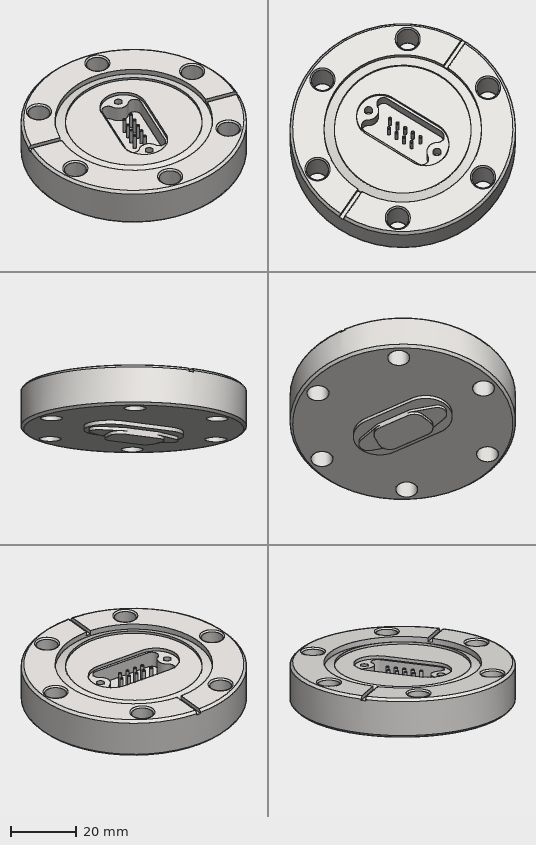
import cadquery as cq
import math

FLANGE_RADIUS = 34.7
FLANGE_THICKNESS = 12.7
RIM_CHAMFER = 0.8

RECESS_RADIUS = 24.2
KNIFE_RADIUS = 21.0
KNIFE_DEPTH = 0.6
KNIFE_SLOPE = 20.0
FLOOR_DEPTH = 1.4

BOLT_COUNT = 6
BOLT_CIRCLE_RADIUS = 29.4
BOLT_DIAMETER = 6.7
BOLT_CHAMFER = 0.5
SLOT_WIDTH = 1.45
SLOT_DEPTH = 1.25

OVAL_LENGTH = 31.05
OVAL_WIDTH = 14.4
LEDGE_DEPTH = 2.4
WELL_DEPTH = 7.4
WELL_HALF_WIDTH = 6.4
WELL_CORNER_RADIUS = 2.0
SCREW_X = 12.55
SCREW_DIAMETER = 2.4
BOSS_RADIUS = 3.1

PIN_DIAMETER = 1.0
PIN_TIP_CHAMFER = 0.2
PIN_PITCH = 2.8
PIN_ROW_Y = 1.4
BACK_ROW_COUNT = 5
FRONT_ROW_COUNT = 4

PLATE_LENGTH = 33.0
PLATE_WIDTH = 16.3
PLATE_THICKNESS = 1.25
EAR_RADIUS = 2.9
EAR_THICKNESS = 1.05
BODY_HALF_FLAT = 5.55
SHELL_HALF_WIDTH = 5.2
SHELL_HALF_LENGTH = 9.35
SHELL_CORNER_RADIUS = 3.6
SHELL_SIDE_ANGLE = 10.0
SHELL_THICKNESS = 1.05

OVERLAP = 0.7


def make_flange():
    """Chamfered disc with the sealing recess, revolved from its half section."""
    cone_drop = (RECESS_RADIUS - KNIFE_RADIUS) * math.tan(math.radians(KNIFE_SLOPE))
    return (
        cq.Workplane("XZ")
        .moveTo(0, -FLANGE_THICKNESS)
        .lineTo(FLANGE_RADIUS - RIM_CHAMFER, -FLANGE_THICKNESS)
        .lineTo(FLANGE_RADIUS, -FLANGE_THICKNESS + RIM_CHAMFER)
        .lineTo(FLANGE_RADIUS, -RIM_CHAMFER)
        .lineTo(FLANGE_RADIUS - RIM_CHAMFER, 0)
        .lineTo(RECESS_RADIUS, 0)
        .lineTo(RECESS_RADIUS, -KNIFE_DEPTH - cone_drop)
        .lineTo(KNIFE_RADIUS, -KNIFE_DEPTH)
        .lineTo(KNIFE_RADIUS, -FLOOR_DEPTH)
        .lineTo(0, -FLOOR_DEPTH)
        .close()
        .revolve(360, (0, 0, 0), (0, 1, 0))
    )


def make_bolt_holes():
    """Through holes, countersunk at the top face."""
    radius = BOLT_DIAMETER / 2
    tool = (
        cq.Workplane("XZ")
        .moveTo(0, 0)
        .lineTo(radius + BOLT_CHAMFER, 0)
        .lineTo(radius, -BOLT_CHAMFER)
        .lineTo(radius, -FLANGE_THICKNESS)
        .lineTo(0, -FLANGE_THICKNESS)
        .close()
        .revolve(360, (0, 0, 0), (0, 1, 0))
        .val()
    )
    return cq.Workplane("XY").polarArray(BOLT_CIRCLE_RADIUS, 0, 360, BOLT_COUNT).eachpoint(
        lambda place: tool.moved(place), combine=False
    )


def make_slots():
    """Two opposite radial slots, from the recess wall out through the rim along Y."""
    inner_end = RECESS_RADIUS - OVERLAP
    length = FLANGE_RADIUS + OVERLAP - inner_end
    middle = inner_end + length / 2
    return (
        cq.Workplane("XY", origin=(0, 0, -SLOT_DEPTH))
        .pushPoints([(0, middle), (0, -middle)])
        .rect(SLOT_WIDTH, length)
        .extrude(SLOT_DEPTH)
    )


def make_well():
    """Deep well: rounded corners flow tangentially into the screw bosses at both ends."""
    corner_y = WELL_HALF_WIDTH - WELL_CORNER_RADIUS
    centre_distance = BOSS_RADIUS + WELL_CORNER_RADIUS
    corner_x = SCREW_X - math.sqrt(centre_distance**2 - corner_y**2)
    boss_share = BOSS_RADIUS / centre_distance
    tangent_x = SCREW_X + (corner_x - SCREW_X) * boss_share
    tangent_y = corner_y * boss_share
    end_angle = math.atan2(tangent_y - corner_y, tangent_x - corner_x)
    mid_angle = (end_angle + math.pi / 2) / 2
    mid_x = corner_x + WELL_CORNER_RADIUS * math.cos(mid_angle)
    mid_y = corner_y + WELL_CORNER_RADIUS * math.sin(mid_angle)
    boss_tip = SCREW_X - BOSS_RADIUS
    return (
        cq.Workplane("XY", origin=(0, 0, -WELL_DEPTH))
        .moveTo(-corner_x, WELL_HALF_WIDTH)
        .lineTo(corner_x, WELL_HALF_WIDTH)
        .threePointArc((mid_x, mid_y), (tangent_x, tangent_y))
        .threePointArc((boss_tip, 0), (tangent_x, -tangent_y))
        .threePointArc((mid_x, -mid_y), (corner_x, -WELL_HALF_WIDTH))
        .lineTo(-corner_x, -WELL_HALF_WIDTH)
        .threePointArc((-mid_x, -mid_y), (-tangent_x, -tangent_y))
        .threePointArc((-boss_tip, 0), (-tangent_x, tangent_y))
        .threePointArc((-mid_x, mid_y), (-corner_x, WELL_HALF_WIDTH))
        .close()
        .extrude(WELL_DEPTH)
    )


def make_pocket():
    """Oval recess, well and two blind screw holes."""
    oval = (
        cq.Workplane("XY", origin=(0, 0, -LEDGE_DEPTH))
        .slot2D(OVAL_LENGTH, OVAL_WIDTH)
        .extrude(LEDGE_DEPTH)
    )
    screws = (
        cq.Workplane("XY", origin=(0, 0, -WELL_DEPTH))
        .pushPoints([(-SCREW_X, 0), (SCREW_X, 0)])
        .circle(SCREW_DIAMETER / 2)
        .extrude(WELL_DEPTH)
    )
    return oval.union(make_well()).union(screws)


def make_pins():
    """Two staggered rows of chamfered pins standing on the well floor."""
    places = []
    for count, row_y in ((BACK_ROW_COUNT, PIN_ROW_Y), (FRONT_ROW_COUNT, -PIN_ROW_Y)):
        for index in range(count):
            places.append(((index - (count - 1) / 2) * PIN_PITCH, row_y))
    return (
        cq.Workplane("XY", origin=(0, 0, -WELL_DEPTH - OVERLAP))
        .pushPoints(places)
        .circle(PIN_DIAMETER / 2)
        .extrude(WELL_DEPTH + OVERLAP - LEDGE_DEPTH)
        .faces(">Z")
        .chamfer(PIN_TIP_CHAMFER)
    )


def make_eared_plate(top_z):
    """Plate tapering from its flat middle to round ears below the screw holes."""
    corner_y = SHELL_HALF_WIDTH - EAR_RADIUS
    hexagon = (
        cq.Workplane("XY", origin=(0, 0, top_z - EAR_THICKNESS))
        .polyline([
            (SCREW_X, 0),
            (BODY_HALF_FLAT, corner_y),
            (-BODY_HALF_FLAT, corner_y),
            (-SCREW_X, 0),
            (-BODY_HALF_FLAT, -corner_y),
            (BODY_HALF_FLAT, -corner_y),
        ])
        .close()
    )
    return hexagon.offset2D(EAR_RADIUS, "arc").extrude(EAR_THICKNESS)


def make_shell(top_z):
    """D-shaped shell, wider towards +Y."""
    corner_y = SHELL_HALF_WIDTH - SHELL_CORNER_RADIUS
    wide_x = SHELL_HALF_LENGTH - SHELL_CORNER_RADIUS
    narrow_x = wide_x - 2 * corner_y * math.tan(math.radians(SHELL_SIDE_ANGLE))
    return (
        cq.Workplane("XY", origin=(0, 0, top_z - SHELL_THICKNESS))
        .polyline([
            (wide_x, corner_y),
            (-wide_x, corner_y),
            (-narrow_x, -corner_y),
            (narrow_x, -corner_y),
        ])
        .close()
        .offset2D(SHELL_CORNER_RADIUS, "arc")
        .extrude(SHELL_THICKNESS)
    )


def make_connector_back():
    """Oval plate, eared plate and D shell stacked under the flange."""
    plate_bottom = -FLANGE_THICKNESS - PLATE_THICKNESS
    plate = (
        cq.Workplane("XY", origin=(0, 0, plate_bottom))
        .slot2D(PLATE_LENGTH, PLATE_WIDTH)
        .extrude(PLATE_THICKNESS)
    )
    eared_plate = make_eared_plate(plate_bottom)
    shell = make_shell(plate_bottom - EAR_THICKNESS)
    return plate.union(eared_plate).union(shell)


result = (
    make_flange()
    .cut(make_slots())
    .cut(make_bolt_holes())
    .cut(make_pocket())
    .union(make_pins())
    .union(make_connector_back())
)